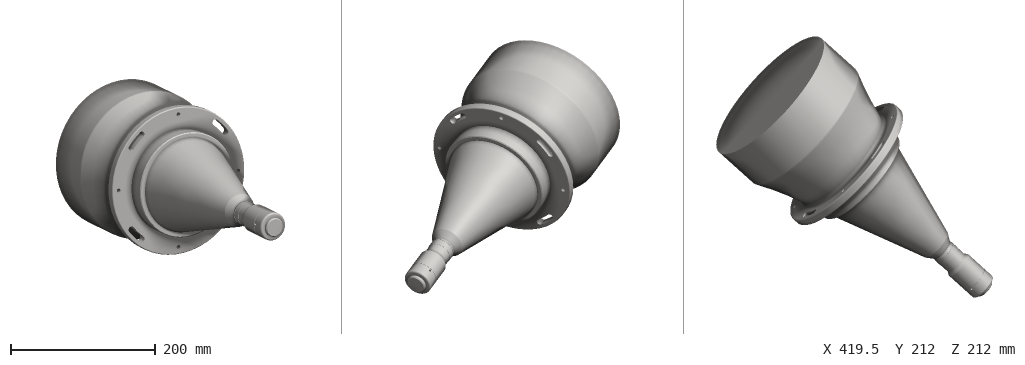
import cadquery as cq
import math

total_length = 419.5

drum_diameter = 212.0
drum_radius = drum_diameter / 2
drum_end = 66.0
drum_bevel_length = 1.5
drum_bevel_depth = 0.5
bell_end = 138.0
bell_sag = 1.5
neck_radius = 80.0
neck_fillet = 3.8

flange_front = 143.0
flange_thickness = 11.7
flange_edge = 1.5
collar_radius = 75.0
collar_length = 24.0
collar_chamfer = 1.3

cone_start_radius = 67.5
cone_end = 322.5
cone_end_radius = 23.5
shoulder_end = 334.0
stem_radius = 17.0
stem_taper = 1.0
stem_taper_length = 3.8
stem_groove_width = 1.3
stem_groove_depth = 0.5
stem_step_start = 347.8
stem_step = 0.5
stem_end = 361.5

barrel_start = 366.5
barrel_diameter = 40.0
barrel_radius = barrel_diameter / 2
barrel_end = 415.0
barrel_edge = 2.5
joint_start = 396.0
joint_width = 1.3
joint_depth = 0.5
cap_radius = 13.5
cap_chamfer = 1.3

opening_circle_radius = 95.5
slot_count = 4
slot_first_angle = 45.0
slot_width = 9.0
slot_span = 14.0
hole_count = 4
hole_diameter = 6.0

pin_hole_count = 3
pin_hole_diameter = 3.0
pin_hole_depth = 3.5
pin_hole_x = 399.5
pin_hole_first_angle = 52.0

flange_back = flange_front + flange_thickness
collar_end = flange_back + collar_length


def make_body():
    """Revolve the whole half outline about the X axis."""
    bell_start = drum_end + drum_bevel_length
    bell_start_radius = drum_radius - drum_bevel_depth
    bell_middle = (bell_start + bell_end) / 2
    bell_middle_radius = (bell_start_radius + neck_radius) / 2 - bell_sag
    diagonal = math.sqrt(0.5)
    fillet_inset = neck_fillet * (1 - diagonal)
    edge_inset = flange_edge * (1 - diagonal)
    barrel_inset = barrel_edge * (1 - diagonal)
    groove_start = shoulder_end + stem_taper_length
    groove_end = groove_start + stem_groove_width
    rear_stem_radius = stem_radius - stem_step

    outline = (
        cq.Workplane("XY")
        .moveTo(0, 0)
        .lineTo(0, drum_radius)
        .lineTo(drum_end, drum_radius)
        .lineTo(bell_start, bell_start_radius)
        .threePointArc((bell_middle, bell_middle_radius), (bell_end, neck_radius))
        .lineTo(flange_front - neck_fillet, neck_radius)
        .threePointArc(
            (flange_front - fillet_inset, neck_radius + fillet_inset),
            (flange_front, neck_radius + neck_fillet),
        )
        .lineTo(flange_front, drum_radius - flange_edge)
        .threePointArc(
            (flange_front + edge_inset, drum_radius - edge_inset),
            (flange_front + flange_edge, drum_radius),
        )
        .lineTo(flange_back - flange_edge, drum_radius)
        .threePointArc(
            (flange_back - edge_inset, drum_radius - edge_inset),
            (flange_back, drum_radius - flange_edge),
        )
        .lineTo(flange_back, collar_radius)
        .lineTo(collar_end - collar_chamfer, collar_radius)
        .lineTo(collar_end, collar_radius - collar_chamfer)
        .lineTo(collar_end, cone_start_radius)
        .lineTo(cone_end, cone_end_radius)
        .lineTo(shoulder_end, stem_radius - stem_taper)
        .lineTo(groove_start, stem_radius)
        .lineTo(groove_start, stem_radius - stem_groove_depth)
        .lineTo(groove_end, stem_radius - stem_groove_depth)
        .lineTo(groove_end, stem_radius)
        .lineTo(stem_step_start, stem_radius)
        .lineTo(stem_step_start, rear_stem_radius)
        .lineTo(stem_end, rear_stem_radius)
        .lineTo(barrel_start, barrel_radius)
        .lineTo(joint_start, barrel_radius)
        .lineTo(joint_start, barrel_radius - joint_depth)
        .lineTo(joint_start + joint_width, barrel_radius - joint_depth)
        .lineTo(joint_start + joint_width, barrel_radius)
        .lineTo(barrel_end - barrel_edge, barrel_radius)
        .threePointArc(
            (barrel_end - barrel_inset, barrel_radius - barrel_inset),
            (barrel_end, barrel_radius - barrel_edge),
        )
        .lineTo(barrel_end, cap_radius)
        .lineTo(total_length - cap_chamfer, cap_radius)
        .lineTo(total_length, cap_radius - cap_chamfer)
        .lineTo(total_length, 0)
        .close()
    )
    return outline.revolve(360, (0, 0, 0), (1, 0, 0))


def on_circle(radius, angle):
    """Point in the YZ plane at an angle measured from +Y towards +Z."""
    turn = math.radians(angle)
    return (radius * math.cos(turn), radius * math.sin(turn))


def make_arc_slot(angle):
    """Round-ended slot that follows the opening circle through the flange."""
    start = angle - slot_span / 2
    end = angle + slot_span / 2
    outer = opening_circle_radius + slot_width / 2
    inner = opening_circle_radius - slot_width / 2
    reach = math.hypot(opening_circle_radius, slot_width / 2)
    overrun = math.degrees(math.atan2(slot_width / 2, opening_circle_radius))
    return (
        cq.Workplane("YZ", origin=(flange_front, 0, 0))
        .moveTo(*on_circle(outer, start))
        .threePointArc(on_circle(outer, angle), on_circle(outer, end))
        .threePointArc(on_circle(reach, end + overrun), on_circle(inner, end))
        .threePointArc(on_circle(inner, angle), on_circle(inner, start))
        .threePointArc(on_circle(reach, start - overrun), on_circle(outer, start))
        .close()
        .extrude(flange_thickness)
    )


def make_flange_holes():
    """Ring of plain holes through the flange, on the Y and Z axes."""
    return (
        cq.Workplane("YZ", origin=(flange_front, 0, 0))
        .polarArray(opening_circle_radius, 0, 360, hole_count)
        .circle(hole_diameter / 2)
        .extrude(flange_thickness)
    )


def make_pin_hole(angle):
    """Blind radial hole in the barrel."""
    y, z = on_circle(1, angle)
    floor = barrel_radius - pin_hole_depth
    base = cq.Vector(pin_hole_x, y * floor, z * floor)
    drill = cq.Solid.makeCylinder(pin_hole_diameter / 2, 2 * pin_hole_depth, base, cq.Vector(0, y, z))
    return cq.Workplane("XY").add(drill)


result = make_body().cut(make_flange_holes())
for index in range(slot_count):
    result = result.cut(make_arc_slot(slot_first_angle + index * 360 / slot_count))
for index in range(pin_hole_count):
    result = result.cut(make_pin_hole(pin_hole_first_angle + index * 360 / pin_hole_count))